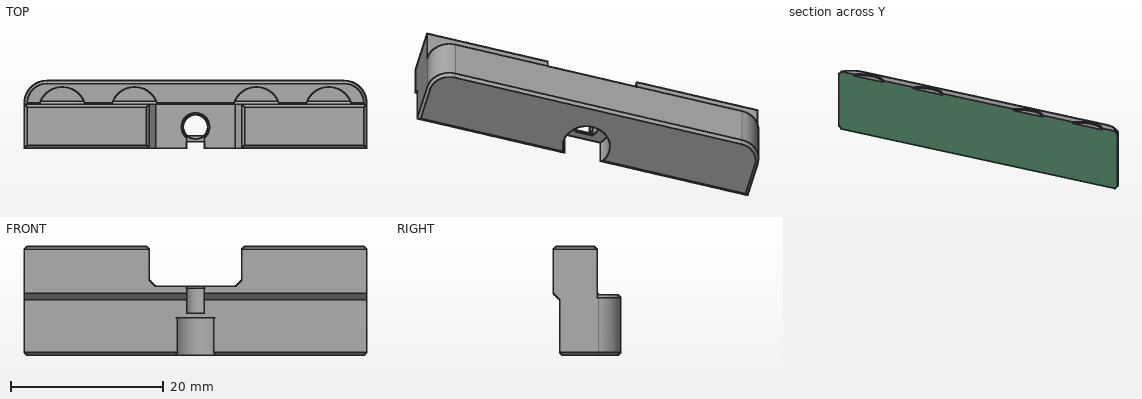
import cadquery as cq

length = 45.0
depth = 8.9
height = 14.34
edge_chamfer = 0.4

block_depth = 5.8
block_front = -2.8
block_back = block_front + block_depth
overhang = 0.85
overhang_top = 8.15
base_front = block_front + overhang

shelf_back = block_front + depth
shelf_height = 8.0
shelf_corner_radius = 3.0

recess_width = 12.1
recess_floor = 9.1
recess_corner_chamfer = 0.8

screw_diameter = 3.2
screw_chamfer = 0.25
head_diameter = 6.2
head_depth = 4.95
slot_width = 2.3
slot_floor = 5.55

web_back = -slot_width / 2
web_step = 0.1
screw_floor = slot_floor - web_step

pocket_diameter = 6.2
pocket_depth = 0.2
pocket_floor = shelf_height - pocket_depth
pocket_positions = (8.0, 17.5)
pocket_setback = 3.95
pocket_y = shelf_back - pocket_setback

foot_size = 0.2


def box(x_size, y_min, y_max, z_min, z_max):
    """Box centred on X between the given Y and Z limits."""
    size = (x_size, y_max - y_min, z_max - z_min)
    return cq.Workplane("XY").box(*size, centered=(True, False, False)).translate((0, y_min, z_min))


def cylinder(diameter, x, y, z_min, z_max):
    """Vertical cylinder between two heights."""
    return cq.Workplane("XY", origin=(x, y, z_min)).circle(diameter / 2).extrude(z_max - z_min)


def make_base():
    """Lower bar: rounded rear corners, chamfered underside and shelf rim."""
    base = box(length, base_front, shelf_back, 0, shelf_height)
    base = base.edges("|Z and >Y").fillet(shelf_corner_radius)
    base = base.faces("<Z").chamfer(edge_chamfer)
    rim = base.faces(">Z").edges("not <Y")
    return rim.chamfer(edge_chamfer)


def make_block():
    """Upper bar with the sloped overhang, central recess and chamfered end blocks."""
    profile = [
        (block_back, edge_chamfer),
        (block_back, height),
        (block_front, height),
        (block_front, overhang_top),
        (base_front, overhang_top - overhang),
        (base_front, edge_chamfer),
    ]
    block = cq.Workplane("YZ", origin=(-length / 2, 0, 0)).polyline(profile).close().extrude(length)

    recess = box(recess_width, block_front, block_back, recess_floor, height)
    recess = recess.faces("<Z").edges("|Y").chamfer(recess_corner_chamfer)
    return block.cut(recess).faces(">Z").chamfer(edge_chamfer)


def cut_screw_seat(body):
    """Screw hole, head counterbore and front slot, leaving a thin web under the slot."""
    screw_radius = screw_diameter / 2
    mouth_radius = screw_radius + screw_chamfer
    mouth_base = cq.Vector(0, 0, recess_floor - screw_chamfer)
    mouth = cq.Workplane(cq.Solid.makeCone(screw_radius, mouth_radius, screw_chamfer, mouth_base))
    head = cylinder(head_diameter, 0, 0, 0, head_depth)
    screw_upper = cylinder(screw_diameter, 0, 0, screw_floor, recess_floor)
    screw_lower = cylinder(screw_diameter, 0, 0, head_depth, screw_floor)
    screw_lower = screw_lower.cut(box(screw_diameter, -screw_diameter, web_back, 0, height))
    slot = box(slot_width, block_front, 0, slot_floor, recess_floor)
    for cutter in (mouth, head, screw_upper, screw_lower, slot):
        body = body.cut(cutter)
    return body


def cut_pockets(base):
    """Shallow pockets in the shelf; the block and its foot cover their front parts."""
    for distance in pocket_positions:
        for x in (-distance, distance):
            base = base.cut(cylinder(pocket_diameter, x, pocket_y, pocket_floor, shelf_height))
    return base


def make_foot():
    """Sloped strip along the back of the block, reaching down to the pocket floors."""
    foot_length = length - 2 * edge_chamfer
    foot_top = shelf_height + foot_size
    profile = [
        (block_back, foot_top),
        (block_back, pocket_floor),
        (block_back + foot_size + pocket_depth, pocket_floor),
    ]
    return cq.Workplane("YZ", origin=(-foot_length / 2, 0, 0)).polyline(profile).close().extrude(foot_length)


body = cut_pockets(make_base()).union(make_block()).union(make_foot())
result = cut_screw_seat(body)